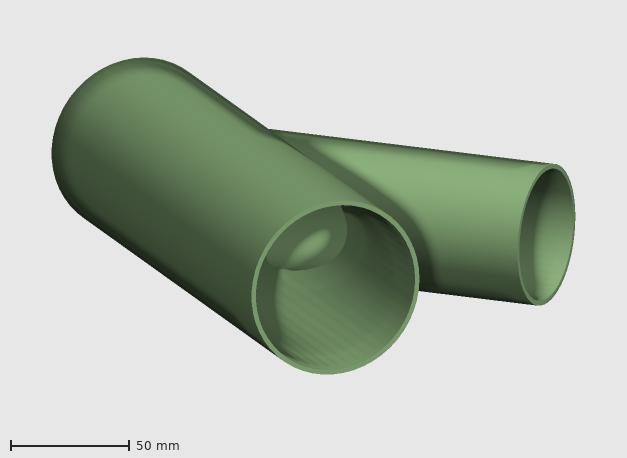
import cadquery as cq
import math

main_length = 235.0
main_outer_diameter = 76.1
main_bore_diameter = 72.1

branch_outer_diameter = 60.5
branch_bore_diameter = 56.5
branch_angle = 45.0
branch_length = 158.9
branch_start_x = 79.2


def main_cylinder(diameter):
    """Full-length cylinder on the main pipe axis."""
    return cq.Workplane("YZ").circle(diameter / 2).extrude(main_length)


def branch_cylinder(diameter):
    """Cylinder from the crossing of the axes to the open end of the branch."""
    angle = math.radians(branch_angle)
    branch_plane = cq.Plane(
        origin=(branch_start_x, 0, 0),
        xDir=(0, 0, 1),
        normal=(math.cos(angle), math.sin(angle), 0),
    )
    return cq.Workplane(branch_plane).circle(diameter / 2).extrude(branch_length)


outer_body = main_cylinder(main_outer_diameter).union(branch_cylinder(branch_outer_diameter))
result = outer_body.cut(main_cylinder(main_bore_diameter)).cut(branch_cylinder(branch_bore_diameter))